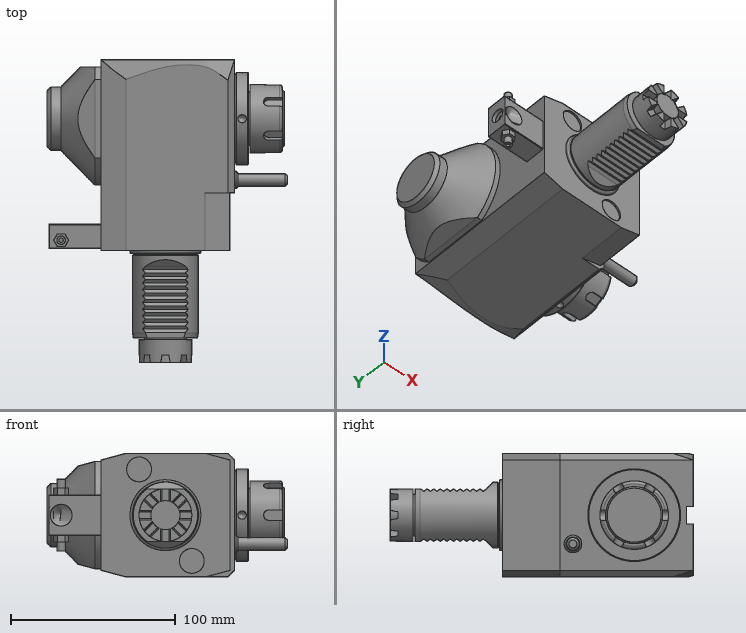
import cadquery as cq
import math


BODY_LENGTH = 116.0
BODY_HALF_HEIGHT = 37.5
FACE_HALF_HEIGHT = 33.5
BODY_HALF_WIDTH = 39.2
SPINDLE_FACE_X = 42.0
STEP_Y = 35.0
BEVEL_SLOPE = math.tan(math.radians(15))
BEVEL_DROP = BODY_HALF_HEIGHT - FACE_HALF_HEIGHT
BEVEL_RUN = BEVEL_DROP / BEVEL_SLOPE
BEVEL_INNER_X = BODY_HALF_WIDTH - BEVEL_RUN

CREST_X = 15.0
CREST_Y = 112.8
CURVE_START_Y = 104.0
CURVE_END_Y = 103.5
CURVE_LEFT_MIDDLE = (-6.6, 109.8)
CURVE_RIGHT_MIDDLE = (26.9, 110.5)

REAR_SLOT_WIDTH = 10.5
REAR_SLOT_DEPTH = 4.0
RECESS_X = 16.0
RECESS_Z = 27.8
RECESS_RADIUS = 7.5
RECESS_DEPTH = 1.1

SPINDLE_Y = 80.0
BOSS_RADIUS = 40.3
BOSS_BASE_LENGTH = 3.7
BOSS_CONE_END_X = -63.5
BOSS_END_X = -72.0
BOSS_TIP_RADIUS = 19.3
BOSS_TIP_CHAMFER = 2.4
BOSS_FLAT_Y = 111.5
BOSS_FLAT_HALF_HEIGHT = 32.5

RING_START_X = 42.7
RING_END_X = 50.5
RING_RADIUS = 28.2
RING_CHAMFER = 0.5
RING_HOLE_RADIUS = 2.5
RING_HOLE_COUNT = 4

TOOL_NECK_RADIUS = 16.4
TOOL_NUT_START_X = 51.3
TOOL_NUT_ROUND_X = 69.2
TOOL_NUT_END_X = 71.0
TOOL_NUT_RADIUS = 20.8
TOOL_NUT_FACE_RADIUS = 19.0
COLLET_RADIUS = 17.3
COLLET_END_X = 72.1
COLLET_CHAMFER = 1.0
TOOL_SLOT_START_X = 59.6
TOOL_SLOT_WIDTH = 6.3
TOOL_SLOT_COUNT = 6

PIN_Y = 42.9
PIN_Z = -17.5
PIN_RADIUS = 3.9
PIN_END_X = 74.2
PIN_CHAMFER = 1.5
PIN_COLLAR_RADIUS = 5.3
PIN_COLLAR_LENGTH = 2.0
PIN_COLLAR_CHAMFER = 1.1

SHANK_RADIUS = 20.0
SHANK_LENGTH = 53.0
SHANK_CHAMFER = 0.5
SHANK_CHAMFER_LENGTH = 3.0
COLLAR_RADIUS = 21.5
COLLAR_LENGTH = 1.8
COLLAR_ROUND = 1.0
GROOVE_RADIUS = 19.5
GROOVE_LENGTH = 0.5
TOOTH_TIP_Z = 16.0
TOOTH_ROOT_Z = 14.5
TOOTH_COUNT = 10
FIRST_ROOT_Y = -11.5
LAST_ROOT_Y = -47.7
TOOTH_PITCH = (FIRST_ROOT_Y - LAST_ROOT_Y) / (TOOTH_COUNT - 1)

NOSE_NECK_RADIUS = 12.7
NOSE_NUT_START_Y = -54.1
NOSE_END_Y = -68.0
NOSE_NUT_RADIUS = 16.0
NOSE_CORE_RADIUS = 8.8
NOSE_SLOT_DEPTH = 4.6
NOSE_SLOT_FLOOR_WIDTH = 4.0
NOSE_SLOT_MOUTH_WIDTH = 5.9
NOSE_SLOT_COUNT = 8

BLOCK_END_X = -70.7
BLOCK_Y_MIN = 1.1
BLOCK_Y_MAX = 16.0
BLOCK_HALF_HEIGHT = 12.3
BLOCK_CHAMFER = 0.4
NOZZLE_X = -63.3
NOZZLE_RADIUS = 6.6
END_HOLE_Y = 7.7
END_HOLE_RADIUS = 4.8
END_HOLE_DEPTH = 2.5
PILOT_RADIUS = 1.3
FITTING_Y = 6.3
HEX_ACROSS_CORNERS = 9.0
HEX_TOP_Z = 16.4
STUD_RADIUS = 2.5
STUD_TOP_Z = 21.9
STUD_BORE_RADIUS = 1.3
STUD_BORE_DEPTH = 1.8


def x_cylinder(start_x, end_x, radius, y, z):
    return cq.Workplane("YZ", origin=(start_x, y, z)).circle(radius).extrude(end_x - start_x)


def both_sides(solid):
    """The solid together with its mirror image below Z = 0."""
    return solid.union(solid.mirror("XY"))


def spindle_turning(profile):
    """Turns a closed (X, radius) profile about the spindle axis."""
    return profile.revolve(360, (0, 0, 0), (1, 0, 0)).translate((0, SPINDLE_Y, 0))


def make_body_blank():
    left_bevel = [
        (-BEVEL_INNER_X, BODY_HALF_HEIGHT),
        (-BODY_HALF_WIDTH, FACE_HALF_HEIGHT),
        (-BODY_HALF_WIDTH, -FACE_HALF_HEIGHT),
        (-BEVEL_INNER_X, -BODY_HALF_HEIGHT),
    ]
    step_side = [(-x, z) for x, z in reversed(left_bevel)]
    chamfer_x = SPINDLE_FACE_X - BEVEL_DROP
    spindle_side = [
        (chamfer_x, -BODY_HALF_HEIGHT),
        (SPINDLE_FACE_X, -FACE_HALF_HEIGHT),
        (SPINDLE_FACE_X, FACE_HALF_HEIGHT),
        (chamfer_x, BODY_HALF_HEIGHT),
    ]
    front = cq.Workplane("XZ").polyline(left_bevel + step_side).close().extrude(-STEP_Y)
    rear = (
        cq.Workplane("XZ", origin=(0, STEP_Y, 0))
        .polyline(left_bevel + spindle_side)
        .close()
        .extrude(STEP_Y - BODY_LENGTH)
    )
    return front.union(rear)


def rear_bevel_cutter():
    """Removes the upper rear edge along a curved edge that slopes down to the rear face."""
    far_y = BODY_LENGTH + 2 * BEVEL_RUN
    corner_y = BODY_LENGTH - BEVEL_RUN
    upper_edge = [
        (-BODY_HALF_WIDTH, corner_y),
        (-BEVEL_INNER_X, CURVE_START_Y),
        CURVE_LEFT_MIDDLE,
        (CREST_X, CREST_Y),
        CURVE_RIGHT_MIDDLE,
        (SPINDLE_FACE_X - BEVEL_DROP, CURVE_END_Y),
        (SPINDLE_FACE_X, corner_y),
    ]
    outline = (
        cq.Workplane("XY", origin=(0, 0, BODY_HALF_HEIGHT))
        .spline(upper_edge)
        .lineTo(SPINDLE_FACE_X, far_y)
        .lineTo(-BODY_HALF_WIDTH, far_y)
        .close()
    )
    face = cq.Face.makeFromWires(outline.val())
    overrun = 1.5
    slope = cq.Vector(0, BEVEL_RUN, -BEVEL_DROP) * overrun
    return cq.Workplane(cq.Solid.extrudeLinear(face, slope))


def make_body():
    body = make_body_blank().cut(both_sides(rear_bevel_cutter()))
    slot = cq.Workplane("XY").box(3 * BODY_HALF_WIDTH, 2 * REAR_SLOT_DEPTH, REAR_SLOT_WIDTH)
    body = body.cut(slot.translate((0, BODY_LENGTH, 0)))
    recesses = (
        cq.Workplane("XZ")
        .pushPoints([(-RECESS_X, RECESS_Z), (RECESS_X, -RECESS_Z)])
        .circle(RECESS_RADIUS)
        .extrude(-RECESS_DEPTH)
    )
    return body.cut(recesses)


def make_boss():
    cone_start_x = -BODY_HALF_WIDTH - BOSS_BASE_LENGTH
    boss = spindle_turning(
        cq.Workplane("XY")
        .moveTo(0, 0)
        .lineTo(0, BOSS_RADIUS)
        .lineTo(cone_start_x, BOSS_RADIUS)
        .lineTo(BOSS_CONE_END_X, BOSS_TIP_RADIUS)
        .lineTo(BOSS_END_X + BOSS_TIP_CHAMFER, BOSS_TIP_RADIUS)
        .lineTo(BOSS_END_X, BOSS_TIP_RADIUS - BOSS_TIP_CHAMFER)
        .lineTo(BOSS_END_X, 0)
        .close()
    )
    end_half_height = BOSS_FLAT_HALF_HEIGHT - (cone_start_x - BOSS_END_X) * BEVEL_SLOPE
    envelope = (
        cq.Workplane("XZ", origin=(0, BOSS_FLAT_Y, 0))
        .moveTo(0, BOSS_FLAT_HALF_HEIGHT)
        .lineTo(cone_start_x, BOSS_FLAT_HALF_HEIGHT)
        .lineTo(BOSS_END_X, end_half_height)
        .lineTo(BOSS_END_X, -end_half_height)
        .lineTo(cone_start_x, -BOSS_FLAT_HALF_HEIGHT)
        .lineTo(0, -BOSS_FLAT_HALF_HEIGHT)
        .close()
        .extrude(BOSS_FLAT_Y)
    )
    return boss.intersect(envelope)


def make_tool_end():
    core = x_cylinder(0, TOOL_NUT_START_X, TOOL_NECK_RADIUS, SPINDLE_Y, 0)
    ring = x_cylinder(RING_START_X, RING_END_X, RING_RADIUS, SPINDLE_Y, 0).edges().chamfer(RING_CHAMFER)
    seat = x_cylinder(0, RING_START_X, RING_RADIUS - 2 * RING_CHAMFER, SPINDLE_Y, 0)
    hole = cq.Workplane(
        cq.Solid.makeCone(
            RING_HOLE_RADIUS,
            0,
            RING_HOLE_RADIUS,
            cq.Vector((RING_START_X + RING_END_X) / 2, SPINDLE_Y, RING_RADIUS),
            cq.Vector(0, 0, -1),
        )
    )
    for i in range(RING_HOLE_COUNT):
        ring = ring.cut(turn_about_spindle(hole, i * 360 / RING_HOLE_COUNT))
    return core.union(seat).union(ring).union(make_tool_nut())


def turn_about_spindle(solid, angle):
    return solid.rotate((0, SPINDLE_Y, 0), (1, SPINDLE_Y, 0), angle)


def make_tool_nut():
    round_length = TOOL_NUT_END_X - TOOL_NUT_ROUND_X
    round_height = TOOL_NUT_RADIUS - TOOL_NUT_FACE_RADIUS
    half_chord = math.sqrt(0.5)
    nut = spindle_turning(
        cq.Workplane("XY")
        .moveTo(TOOL_NUT_START_X, 0)
        .lineTo(TOOL_NUT_START_X, TOOL_NUT_RADIUS)
        .lineTo(TOOL_NUT_ROUND_X, TOOL_NUT_RADIUS)
        .threePointArc(
            (
                TOOL_NUT_ROUND_X + round_length * half_chord,
                TOOL_NUT_FACE_RADIUS + round_height * half_chord,
            ),
            (TOOL_NUT_END_X, TOOL_NUT_FACE_RADIUS),
        )
        .lineTo(TOOL_NUT_END_X, 0)
        .close()
    )
    end_x = TOOL_NUT_END_X + TOOL_SLOT_WIDTH
    half_width = TOOL_SLOT_WIDTH / 2
    slot = (
        cq.Workplane("XZ", origin=(0, SPINDLE_Y - COLLET_RADIUS, 0))
        .moveTo(end_x, half_width)
        .lineTo(TOOL_SLOT_START_X + half_width, half_width)
        .threePointArc((TOOL_SLOT_START_X, 0), (TOOL_SLOT_START_X + half_width, -half_width))
        .lineTo(end_x, -half_width)
        .close()
        .extrude(TOOL_NUT_RADIUS)
    )
    for i in range(TOOL_SLOT_COUNT):
        nut = nut.cut(turn_about_spindle(slot, i * 360 / TOOL_SLOT_COUNT))
    collet = x_cylinder(TOOL_NUT_START_X, COLLET_END_X, COLLET_RADIUS, SPINDLE_Y, 0)
    return nut.union(collet.faces(">X").chamfer(COLLET_CHAMFER))


def make_pin():
    pin = x_cylinder(0, PIN_END_X, PIN_RADIUS, PIN_Y, PIN_Z).faces(">X").chamfer(PIN_CHAMFER)
    collar = x_cylinder(0, SPINDLE_FACE_X + PIN_COLLAR_LENGTH, PIN_COLLAR_RADIUS, PIN_Y, PIN_Z)
    return pin.union(collar.faces(">X").chamfer(PIN_COLLAR_CHAMFER))


def make_shank():
    groove_end = COLLAR_LENGTH + GROOVE_LENGTH
    shank_start = groove_end + SHANK_RADIUS - GROOVE_RADIUS
    round_middle = COLLAR_ROUND * (1 - math.sqrt(0.5))
    shank = (
        cq.Workplane("XY")
        .moveTo(0, STEP_Y)
        .lineTo(COLLAR_RADIUS, STEP_Y)
        .lineTo(COLLAR_RADIUS, COLLAR_ROUND - COLLAR_LENGTH)
        .threePointArc(
            (COLLAR_RADIUS - round_middle, round_middle - COLLAR_LENGTH),
            (COLLAR_RADIUS - COLLAR_ROUND, -COLLAR_LENGTH),
        )
        .lineTo(GROOVE_RADIUS, -COLLAR_LENGTH)
        .lineTo(GROOVE_RADIUS, -groove_end)
        .lineTo(SHANK_RADIUS, -shank_start)
        .lineTo(SHANK_RADIUS, SHANK_CHAMFER_LENGTH - SHANK_LENGTH)
        .lineTo(SHANK_RADIUS - SHANK_CHAMFER, -SHANK_LENGTH)
        .lineTo(0, -SHANK_LENGTH)
        .close()
        .revolve(360, (0, 0, 0), (0, 1, 0))
    )
    return shank.cut(both_sides(tooth_cutter()))


def tooth_cutter():
    """Everything above the toothed flat: a 45 degree run-in, V-shaped roots, then a plain flat."""
    first_tip_y = FIRST_ROOT_Y + TOOTH_PITCH / 2
    clearance = COLLAR_RADIUS - TOOTH_TIP_Z
    outline = [(first_tip_y + clearance, TOOTH_TIP_Z + clearance), (first_tip_y, TOOTH_TIP_Z)]
    for i in range(TOOTH_COUNT):
        root_y = FIRST_ROOT_Y - i * TOOTH_PITCH
        outline.append((root_y, TOOTH_ROOT_Z))
        outline.append((root_y - TOOTH_PITCH / 2, TOOTH_TIP_Z))
    outline.append((-SHANK_LENGTH, TOOTH_TIP_Z))
    outline.append((-SHANK_LENGTH, TOOTH_TIP_Z + clearance))
    return cq.Workplane("YZ").polyline(outline).close().extrude(SHANK_RADIUS, both=True)


def make_nose():
    nose = cq.Workplane("XZ").circle(NOSE_NECK_RADIUS).extrude(-NOSE_NUT_START_Y)
    nut = (
        cq.Workplane("XZ", origin=(0, NOSE_NUT_START_Y, 0))
        .circle(NOSE_NUT_RADIUS)
        .extrude(NOSE_NUT_START_Y - NOSE_END_Y)
    )
    floor_y = NOSE_END_Y + NOSE_SLOT_DEPTH
    slot = (
        cq.Workplane("XY")
        .polyline(
            [
                (-NOSE_SLOT_FLOOR_WIDTH / 2, floor_y),
                (NOSE_SLOT_FLOOR_WIDTH / 2, floor_y),
                (NOSE_SLOT_MOUTH_WIDTH / 2, NOSE_END_Y),
                (-NOSE_SLOT_MOUTH_WIDTH / 2, NOSE_END_Y),
            ]
        )
        .close()
        .extrude(2 * NOSE_NUT_RADIUS)
    )
    for i in range(NOSE_SLOT_COUNT):
        nut = nut.cut(slot.rotate((0, 0, 0), (0, 1, 0), i * 360 / NOSE_SLOT_COUNT))
    core = cq.Workplane("XZ").circle(NOSE_CORE_RADIUS).extrude(-NOSE_END_Y)
    return nose.union(nut).union(core)


def make_fitting():
    """Hexagonal base and bored stud on top of the coolant block."""
    base = cq.Workplane("XY", origin=(NOZZLE_X, FITTING_Y, BLOCK_HALF_HEIGHT - BLOCK_CHAMFER))
    hexagon = base.polygon(6, HEX_ACROSS_CORNERS).extrude(HEX_TOP_Z - BLOCK_HALF_HEIGHT + BLOCK_CHAMFER)
    stud = base.circle(STUD_RADIUS).extrude(STUD_TOP_Z - BLOCK_HALF_HEIGHT + BLOCK_CHAMFER)
    stud = stud.faces(">Z").workplane().hole(2 * STUD_BORE_RADIUS, STUD_BORE_DEPTH)
    return hexagon.union(stud)


def make_coolant_block():
    block = (
        cq.Workplane("XY")
        .box(-BLOCK_END_X, BLOCK_Y_MAX - BLOCK_Y_MIN, 2 * BLOCK_HALF_HEIGHT)
        .edges("|X")
        .chamfer(BLOCK_CHAMFER)
        .translate((BLOCK_END_X / 2, (BLOCK_Y_MIN + BLOCK_Y_MAX) / 2, 0))
    )
    nozzle_seat = cq.Workplane(
        cq.Solid.makeCone(
            NOZZLE_RADIUS, 0, NOZZLE_RADIUS, cq.Vector(NOZZLE_X, BLOCK_Y_MIN, 0), cq.Vector(0, 1, 0)
        )
    )
    end_hole = x_cylinder(BLOCK_END_X, BLOCK_END_X + END_HOLE_DEPTH, END_HOLE_RADIUS, END_HOLE_Y, 0)
    pilot = x_cylinder(BLOCK_END_X, NOZZLE_X, PILOT_RADIUS, END_HOLE_Y, 0)
    return block.cut(nozzle_seat).cut(end_hole).cut(pilot).union(both_sides(make_fitting()))


result = make_body()
result = result.union(make_boss())
result = result.union(make_tool_end())
result = result.union(make_pin())
result = result.union(make_shank())
result = result.union(make_nose())
result = result.union(make_coolant_block())